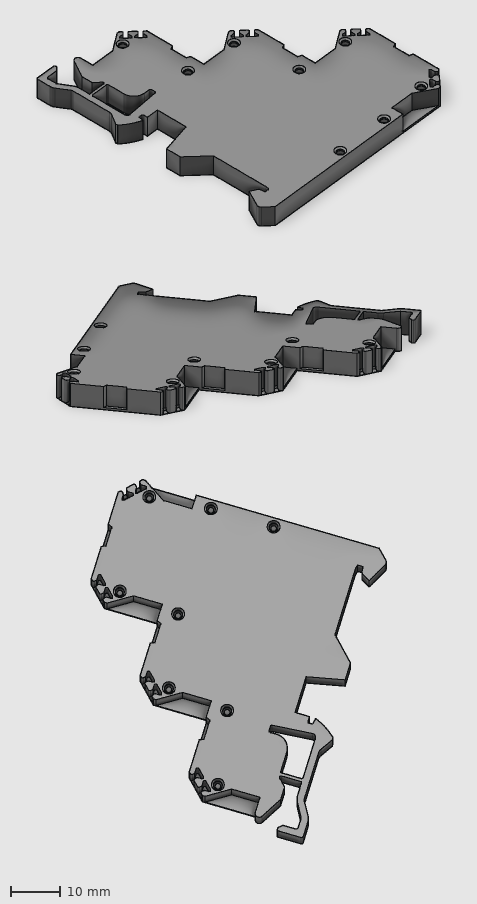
import cadquery as cq
import math


LENGTH = 62.8
HEIGHT = 56.85
THICKNESS = 5.08
OUTSIDE = 1.0

LEVELS = 3
FIRST_WALL_X = 2.7
LEVEL_RUN = 16.58
LEVEL_RISE = 15.38
CORNER_LEG = 4.0

ENTRY_FLOOR = 0.5
ENTRY_DEPTH = 3.0
ENTRY_START = 4.6
ENTRY_FULL = 9.3
LEDGE_Y = 10.78

GROOVE_SPACING = 3.05
GROOVE_FLOOR = 0.45
GROOVE_LIP_FLOOR = 0.1
NECK_HALF = 0.5
NECK_DEPTH = 0.84
LIP_RADIUS = 0.35
LIP_MARGIN = 0.05
GROOVE_DEPTH = 2.06
HEAD_RADIUS = 0.32

NOTCH_OFFSET = 13.5
NOTCH_MOUTH_HALF = 2.45
NOTCH_BASE_HALF = 2.1
NOTCH_DEPTH = 0.9
NOTCH_FLOOR = 0.5

RIVET_TOP_D = 2.6
RIVET_STEP_D = 1.8
RIVET_FLOOR_D = 1.15
RIVET_RIM_DEPTH = 0.4
RIVET_STEP_DEPTH = 0.8
RIVET_DEPTH = 1.4
CORNER_RIVET = (3.1, 6.35)
INNER_RIVET = (1.95, 19.05)
SIDE_RIVET_INSET = 1.85
SIDE_RIVET_PITCH = 13.3

ARM_TOP = 3.59
ARM_BOTTOM = 2.08
HOOK_FLOOR = 1.54
NOSE_RADIUS = 0.84
WEB_LEFT = 11.25
WEB_RIGHT = 11.9
BODY_BOTTOM = 9.1
RAIL_Y = 6.05
CLIP_EDGE_X = 24.85


def wall_x(level):
    return FIRST_WALL_X + level * LEVEL_RUN


def top_y(level):
    return HEIGHT - (LEVELS - 1 - level) * LEVEL_RISE


def rounded_outline(corners):
    """Closed wire through (x, y, radius) corners, each rounded by its radius."""
    path = None
    count = len(corners)
    for i, (x, y, radius) in enumerate(corners):
        corner = cq.Vector(x, y)
        before = (cq.Vector(*corners[i - 1][:2]) - corner).normalized()
        after = (cq.Vector(*corners[(i + 1) % count][:2]) - corner).normalized()
        half_angle = before.getAngle(after) / 2
        setback = radius / math.tan(half_angle)
        start = (corner + before * setback).toTuple()[:2]
        path = path.lineTo(*start) if path else cq.Workplane("XY").moveTo(*start)
        if radius > 0:
            bisector = (before + after).normalized()
            middle = corner + bisector * (radius / math.sin(half_angle) - radius)
            end = corner + after * setback
            path = path.threePointArc(middle.toTuple()[:2], end.toTuple()[:2])
    return path.close()


def hook_and_jaw():
    """Outline from the clip's hook along the arm's upper side to the jaw's nose."""
    return [
        (0, 0, 0.35),
        (0, 5.49, 0.25),
        (0.65, 5.49, 0),
        (1.42, 4.6, 0),
        (1.42, HOOK_FLOOR, 0.45),
        (4.0, HOOK_FLOOR, 0),
        (7.65, ARM_TOP, 2.2),
        (WEB_LEFT, ARM_TOP, 0),
        (WEB_LEFT, 8.2, 0.28),
        (10.8, 8.2, 0.3),
        (9.25, 6.62, 0),
        (6.5, 6.62, 0),
        (-0.7, LEDGE_Y, NOSE_RADIUS),
    ]


def stepped_levels():
    """Outline up the three levels and down to the beveled top right corner."""
    corners = [(FIRST_WALL_X, LEDGE_Y, 0)]
    for level in range(LEVELS):
        corners.append((wall_x(level), top_y(level) - CORNER_LEG, 0))
        corners.append((wall_x(level) + CORNER_LEG, top_y(level), 0))
        if level < LEVELS - 1:
            corners.append((wall_x(level + 1), top_y(level), 0))
    corners.append((LENGTH - CORNER_LEG, HEIGHT, 0))
    corners.append((LENGTH, HEIGHT - CORNER_LEG, 0))
    return corners


def rail_foot():
    """Outline from the right wall along the underside back to the hook."""
    return [
        (LENGTH, 2.65, 0),
        (60.35, 0.2, 0.9),
        (55.68, 2.65, 0),
        (56.72, 4.5, 0),
        (58.15, 4.75, 0),
        (58.15, 5.86, 0),
        (57.3, RAIL_Y, 0),
        (42.87, RAIL_Y, 0),
        (38.07, 1.32, 0),
        (34.32, 1.32, 0),
        (32.67, BODY_BOTTOM, 0),
        (CLIP_EDGE_X, BODY_BOTTOM, 0),
        (CLIP_EDGE_X, RAIL_Y, 0),
        (23.53, RAIL_Y, 0.35),
        (23.53, 4.97, 0),
        (CLIP_EDGE_X, 4.73, 0),
        (23.85, 2.2, 14.0),
        (22.02, 0.19, 0),
        (21.48, 0.19, 0),
        (18.5, ARM_BOTTOM, 1.6),
        (7.84, ARM_BOTTOM, 0.8),
        (4.3, 0, 2.2),
    ]


def clip_window():
    corners = [
        (WEB_RIGHT, 8.32, 0.3),
        (WEB_RIGHT, ARM_TOP, 0.3),
        (21.68, ARM_TOP, 0.8),
        (20.9, 13.05, 0.3),
        (19.38, 13.05, 0.4),
        (19.38, 8.32, 3.0),
    ]
    return rounded_outline(corners).extrude(THICKNESS)


def wire_entry(wall, top, bottom, inward):
    """Recess beside a wall; inward is +1 when the body lies on the +X side."""
    inner = wall + inward * ENTRY_DEPTH
    outer = wall - inward * OUTSIDE
    return (
        cq.Workplane("XY", origin=(0, 0, ENTRY_FLOOR))
        .moveTo(wall, top - ENTRY_START)
        .lineTo(inner, top - ENTRY_FULL)
        .lineTo(inner, bottom)
        .lineTo(outer, bottom)
        .lineTo(outer, top - ENTRY_START)
        .close()
        .extrude(THICKNESS)
    )


def marker_groove():
    """T-shaped groove with rounded lips; it enters the y = 0 face toward -Y."""
    head_half = NECK_HALF + GROOVE_DEPTH - NECK_DEPTH
    mouth_half = NECK_HALF + LIP_RADIUS + LIP_MARGIN
    left = [
        (-mouth_half, OUTSIDE, 0),
        (-mouth_half, 0, 0),
        (-NECK_HALF, 0, LIP_RADIUS),
        (-NECK_HALF, -NECK_DEPTH, 0),
        (-head_half, -GROOVE_DEPTH, HEAD_RADIUS),
    ]
    right = [(-x, y, radius) for x, y, radius in reversed(left)]
    profile = rounded_outline(left + right).extrude(THICKNESS)
    slope = (GROOVE_FLOOR - GROOVE_LIP_FLOOR) / NECK_DEPTH
    above_floor = (
        cq.Workplane("YZ")
        .moveTo(-GROOVE_DEPTH - OUTSIDE, GROOVE_FLOOR)
        .lineTo(-NECK_DEPTH, GROOVE_FLOOR)
        .lineTo(2 * OUTSIDE, GROOVE_LIP_FLOOR - 2 * OUTSIDE * slope)
        .lineTo(2 * OUTSIDE, THICKNESS + OUTSIDE)
        .lineTo(-GROOVE_DEPTH - OUTSIDE, THICKNESS + OUTSIDE)
        .close()
        .extrude(2 * head_half, both=True)
    )
    return profile.intersect(above_floor)


def cut_marker_grooves(block, bevel_x, bevel_y, angle):
    """Cut two grooves about the middle of a corner bevel whose normal is +Y turned by angle."""
    for side in (-1, 1):
        groove = marker_groove().translate((side * GROOVE_SPACING / 2, 0, 0))
        groove = groove.rotate((0, 0, 0), (0, 0, 1), angle)
        block = block.cut(groove.translate((bevel_x, bevel_y, 0)))
    return block


def label_notch(center_x, top):
    return (
        cq.Workplane("XY", origin=(center_x, top, NOTCH_FLOOR))
        .moveTo(-NOTCH_MOUTH_HALF, 0)
        .lineTo(-NOTCH_BASE_HALF, -NOTCH_DEPTH)
        .lineTo(NOTCH_BASE_HALF, -NOTCH_DEPTH)
        .lineTo(NOTCH_MOUTH_HALF, 0)
        .close()
        .extrude(THICKNESS)
    )


def rivet_recess(x, y):
    rim_z = THICKNESS - RIVET_RIM_DEPTH
    step_z = THICKNESS - RIVET_STEP_DEPTH
    floor_z = THICKNESS - RIVET_DEPTH
    return (
        cq.Workplane("XZ")
        .moveTo(0, THICKNESS)
        .lineTo(RIVET_TOP_D / 2, THICKNESS)
        .lineTo(RIVET_STEP_D / 2, rim_z)
        .lineTo(RIVET_STEP_D / 2, step_z)
        .lineTo(RIVET_FLOOR_D / 2, floor_z)
        .lineTo(0, floor_z)
        .close()
        .revolve(360, (0, 0, 0), (0, 1, 0))
        .translate((x, y, 0))
    )


def rivet_positions():
    corner_inset, corner_drop = CORNER_RIVET
    inner_inset, inner_drop = INNER_RIVET
    positions = [(wall_x(i) + corner_inset, top_y(i) - corner_drop) for i in range(LEVELS)]
    positions += [(wall_x(i) + inner_inset, top_y(i) - inner_drop) for i in range(1, LEVELS)]
    positions.append((LENGTH - corner_inset, HEIGHT - corner_drop))
    side_y = HEIGHT - inner_drop
    positions.append((LENGTH - SIDE_RIVET_INSET, side_y))
    positions.append((LENGTH - SIDE_RIVET_INSET, side_y - SIDE_RIVET_PITCH))
    return positions


body = rounded_outline(hook_and_jaw() + stepped_levels() + rail_foot()).extrude(THICKNESS)
body = body.cut(clip_window())

half_leg = CORNER_LEG / 2
for level in range(LEVELS):
    wall = wall_x(level)
    top = top_y(level)
    entry_bottom = top_y(level - 1) if level > 0 else LEDGE_Y
    body = body.cut(wire_entry(wall, top, entry_bottom, 1))
    body = cut_marker_grooves(body, wall + half_leg, top - half_leg, 45)
    body = body.cut(label_notch(wall + NOTCH_OFFSET, top))

body = body.cut(wire_entry(LENGTH, HEIGHT, top_y(LEVELS - 2), -1))
body = cut_marker_grooves(body, LENGTH - half_leg, HEIGHT - half_leg, -45)

for x, y in rivet_positions():
    body = body.cut(rivet_recess(x, y))

result = body